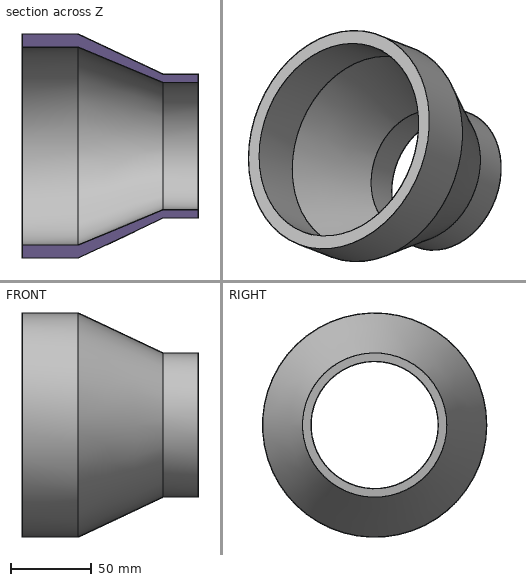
import cadquery as cq

total_length = 110.0
large_length = 35.0
small_length = 22.0

large_outer_diameter = 140.0
large_wall = 8.3
small_outer_diameter = 90.0
small_wall = 5.4

cone_start = large_length
cone_end = total_length - small_length


def stepped_body(large_radius, small_radius):
    """Solid of revolution: large cylinder, cone, small cylinder."""
    return (
        cq.Workplane("XY")
        .moveTo(0, 0)
        .lineTo(0, large_radius)
        .lineTo(cone_start, large_radius)
        .lineTo(cone_end, small_radius)
        .lineTo(total_length, small_radius)
        .lineTo(total_length, 0)
        .close()
        .revolve(360, (0, 0, 0), (1, 0, 0))
    )


large_outer_radius = large_outer_diameter / 2
small_outer_radius = small_outer_diameter / 2

outer_body = stepped_body(large_outer_radius, small_outer_radius)
bore = stepped_body(large_outer_radius - large_wall, small_outer_radius - small_wall)

result = outer_body.cut(bore)